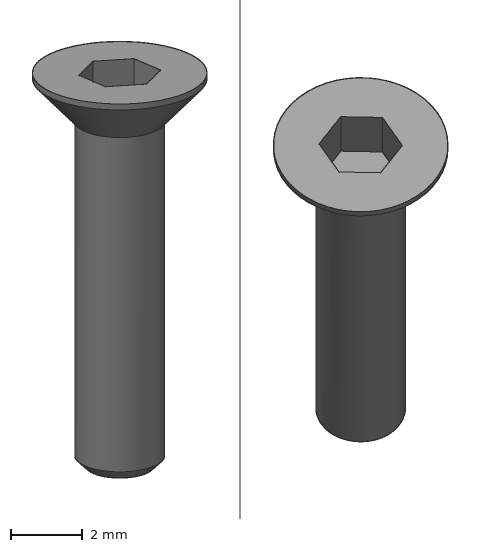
import cadquery as cq
import math

total_length = 11.7
head_diameter = 4.85
head_rim_height = 0.18
head_height = 1.45
shank_diameter = 2.5
tip_chamfer = 0.3
socket_across_flats = 2.0
socket_depth = 1.5

head_radius = head_diameter / 2
shank_radius = shank_diameter / 2
tip_radius = shank_radius - tip_chamfer


def make_body():
    """Revolve the half profile of head, shank and chamfered tip about Z."""
    half_profile = (
        cq.Workplane("XZ")
        .moveTo(0, 0)
        .lineTo(head_radius, 0)
        .lineTo(head_radius, -head_rim_height)
        .lineTo(shank_radius, -head_height)
        .lineTo(shank_radius, -total_length + tip_chamfer)
        .lineTo(tip_radius, -total_length)
        .lineTo(0, -total_length)
        .close()
    )
    axis_start = (0, 0, 0)
    axis_end = (0, 1, 0)
    return half_profile.revolve(360, axis_start, axis_end)


def make_socket():
    """Flat-bottomed hexagonal recess with two of its flats facing +X and -X."""
    across_corners = socket_across_flats / math.cos(math.pi / 6)
    corner_turn = 90
    return (
        cq.Workplane("XY")
        .transformed(rotate=(0, 0, corner_turn))
        .polygon(6, across_corners)
        .extrude(-socket_depth)
    )


result = make_body().cut(make_socket())